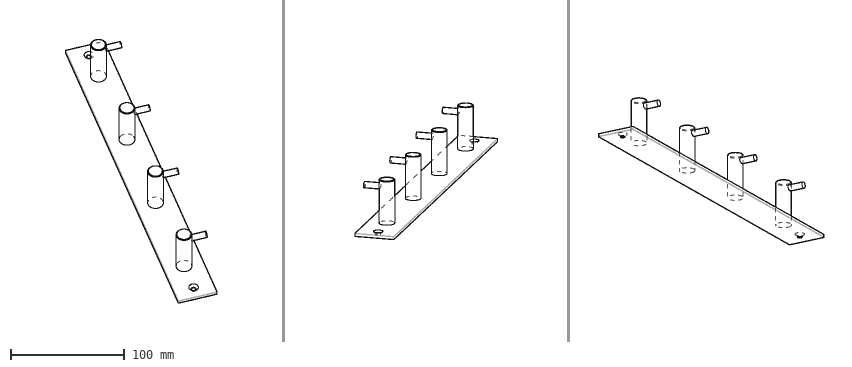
import cadquery as cq

plate_length = 322.0
plate_width = 36.0
plate_thickness = 3.0
plate_corner_radius = 1.0
plate_edge_radius = 0.25

screw_inset = 12.0
screw_hole_diameter = 4.2
screw_head_diameter = 8.5
countersink_angle = 90.0

post_count = 4
post_pitch = 81.0
post_diameter = 14.0
post_chamfer = 0.5
overall_height = 43.0

pin_diameter = 5.8
pin_height = 36.5
overall_width = 38.5
pin_reach = overall_width - plate_width / 2


def make_plate():
    plate = cq.Workplane("XY").box(
        plate_length, plate_width, plate_thickness, centered=(True, True, False)
    )
    plate = plate.edges("|Z").fillet(plate_corner_radius)
    plate = plate.faces("<Z or >Z").edges().fillet(plate_edge_radius)
    screw_x = plate_length / 2 - screw_inset
    return (
        plate.faces(">Z")
        .workplane(origin=(0, 0, plate_thickness))
        .pushPoints([(-screw_x, 0), (screw_x, 0)])
        .cskHole(screw_hole_diameter, screw_head_diameter, countersink_angle)
    )


def make_hook(x):
    post = (
        cq.Workplane("XY", origin=(x, 0, plate_thickness))
        .circle(post_diameter / 2)
        .extrude(overall_height - plate_thickness)
        .faces(">Z")
        .chamfer(post_chamfer)
    )
    pin = (
        cq.Workplane("XZ", origin=(x, 0, pin_height))
        .circle(pin_diameter / 2)
        .extrude(-pin_reach)
    )
    return post.union(pin)


result = make_plate()
for index in range(post_count):
    hook_x = (index - (post_count - 1) / 2) * post_pitch
    result = result.union(make_hook(hook_x))